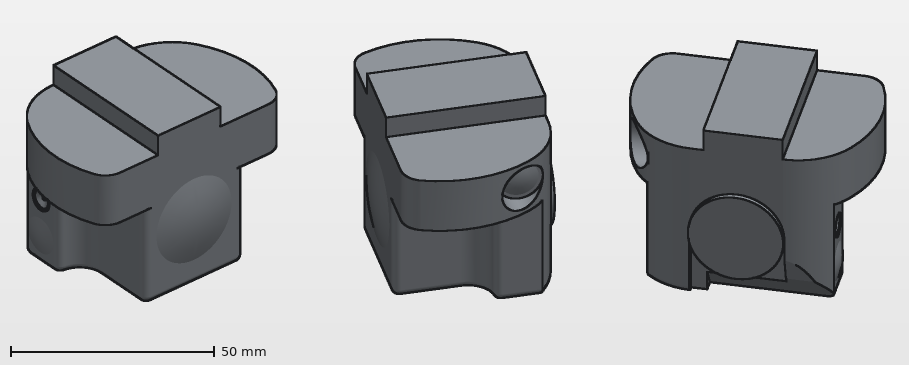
import cadquery as cq
import math

BODY_LENGTH = 40.4
PLATE_RADIUS = 31.4
PLATE_CENTRE_X = 24.75
PLATE_BOTTOM = 28.15
PLATE_TOP = 42.85
LEFT_CORNER_RADIUS = 17.8
RIGHT_CORNER_RADIUS = 6.0

RAIL_TOP = 48.6
RAIL_BACK = 8.4
RAIL_WIDTH = 20.0

BODY_HALF_WIDTH = 23.5
WIDE_PART_LENGTH = 16.6
EDGE_RADIUS = 2.0
UNDERSIDE_RADIUS = 1.9
NARROW_HALF_WIDTH = 15.8
HOLLOW_RADIUS = 6.55

PIVOT_DIAMETER = 24.0
PIVOT_Z = 18.85
PIVOT_PROUD = 1.5
PIVOT_DOME_HEIGHT = 1.7
POCKET_DEPTH = 2.5

RELIEF_BACK = 8.0
RELIEF_FOOT_X = 5.7
RELIEF_KNEE_X = 1.75
RELIEF_KNEE_Z = 6.4
RELIEF_TOP_Z = 12.9

PLUG_DIAMETER = 10.0
PLUG_HEIGHT = 0.9
FRONT_PLUG_X = 9.55
FRONT_PLUG_Z = 8.15
LOWER_PLUG_X = 10.2
LOWER_PLUG_Y = 12.2
BORE_DIAMETER = 12.0
BORE_X = 10.3
BORE_FLOOR_Y = 23.1
BORE_Z = (PLATE_BOTTOM + PLATE_TOP) / 2

BUTTON_DIAMETER = 4.7
BUTTON_HEIGHT = 0.16
BUTTON_X = 33.85

NIPPLE_DIAMETER = 6.2
NIPPLE_SEAT_DEPTH = 0.25
NIPPLE_CONE_DIAMETER = 5.0
NIPPLE_BALL_DIAMETER = 1.5
NIPPLE_FLOOR_DEPTH = 1.3
NIPPLE_BALL_HEIGHT = 0.5

EMBED = 0.6


def facing(origin, normal):
    """Location whose local Z axis leaves a face along its normal."""
    x_dir = (0, 1, 0) if normal[0] else (1, 0, 0)
    return cq.Plane(origin=origin, xDir=x_dir, normal=normal).location


def dome(diameter, height, origin, normal):
    """Shallow spherical cap standing on a face, with a short stem inside it."""
    radius = diameter / 2
    sphere_radius = (radius**2 + height**2) / (2 * height)
    cap = cq.Workplane("XY").sphere(sphere_radius).translate((0, 0, height - sphere_radius))
    stem = cq.Workplane("XY").circle(radius).extrude(height + EMBED).translate((0, 0, -EMBED))
    return cap.intersect(stem).val().moved(facing(origin, normal))


def rounded_outline(height):
    """Flat-sided disc with large left corners and small right corners."""
    disc = cq.Workplane("XY").center(PLATE_CENTRE_X, 0).circle(PLATE_RADIUS).extrude(height)
    slab = cq.Workplane("XY").box(BODY_LENGTH, 3 * PLATE_RADIUS, height, centered=(False, True, False))
    outline = disc.intersect(slab)
    outline = outline.faces("<X").edges("|Z").fillet(LEFT_CORNER_RADIUS)
    return outline.faces(">X").edges("|Z").fillet(RIGHT_CORNER_RADIUS)


def stepped_profile():
    """Wide block with rounded shoulders down to the narrow block, alike on both sides."""
    shoulder_x = WIDE_PART_LENGTH - EDGE_RADIUS
    shoulder_y = BODY_HALF_WIDTH - EDGE_RADIUS
    centre_gap = EDGE_RADIUS + HOLLOW_RADIUS
    rise = NARROW_HALF_WIDTH + HOLLOW_RADIUS - shoulder_y
    run = math.sqrt(centre_gap**2 - rise**2)
    hollow_x = shoulder_x + run
    joint = (shoulder_x + EDGE_RADIUS * run / centre_gap, shoulder_y + EDGE_RADIUS * rise / centre_gap)
    half = (
        cq.Workplane("XY")
        .lineTo(0, BODY_HALF_WIDTH)
        .lineTo(shoulder_x, BODY_HALF_WIDTH)
        .radiusArc(joint, EDGE_RADIUS)
        .radiusArc((hollow_x, NARROW_HALF_WIDTH), -HOLLOW_RADIUS)
        .lineTo(BODY_LENGTH - EDGE_RADIUS, NARROW_HALF_WIDTH)
        .radiusArc((BODY_LENGTH, NARROW_HALF_WIDTH - EDGE_RADIUS), EDGE_RADIUS)
        .lineTo(BODY_LENGTH, 0)
    )
    return half.mirrorX()


def lower_body():
    """Stepped block under the plate, held inside the rounded outline."""
    block = stepped_profile().extrude(PLATE_TOP)
    block = block.intersect(rounded_outline(PLATE_TOP))
    return block.faces("<Z").edges().fillet(UNDERSIDE_RADIUS)


def main_body():
    plate = rounded_outline(PLATE_TOP - PLATE_BOTTOM).translate((0, 0, PLATE_BOTTOM))
    rail = cq.Workplane("XY").box(BODY_LENGTH, RAIL_WIDTH, RAIL_TOP - PLATE_BOTTOM, centered=False)
    rail = rail.translate((0, RAIL_BACK - RAIL_WIDTH, PLATE_BOTTOM))
    return plate.union(rail).union(lower_body())


def pivot_pocket():
    """Slot in the left face, from the pivot centre down through the underside."""
    return cq.Workplane("XY").box(POCKET_DEPTH, PIVOT_DIAMETER, PIVOT_Z, centered=(False, True, False))


def sloped_relief():
    """Two-slope chamfer along the lower left edge, ending short of the back."""
    profile = [
        (0, 0),
        (RELIEF_FOOT_X, 0),
        (RELIEF_KNEE_X, RELIEF_KNEE_Z),
        (0, RELIEF_TOP_Z),
    ]
    reach = RELIEF_BACK + PLATE_RADIUS
    return cq.Workplane("XZ", origin=(0, RELIEF_BACK, 0)).polyline(profile).close().extrude(reach)


def pivot_disc():
    thickness = PIVOT_PROUD + POCKET_DEPTH + EMBED
    disc = cq.Workplane("YZ", origin=(-PIVOT_PROUD, 0, PIVOT_Z)).circle(PIVOT_DIAMETER / 2)
    return disc.extrude(thickness)


def plug_bore():
    """Blind bore along Y, open at the back rim of the plate."""
    bore = cq.Workplane("XY").circle(BORE_DIAMETER / 2).extrude(PLATE_RADIUS)
    return bore.val().moved(facing((BORE_X, BORE_FLOOR_Y, BORE_Z), (0, 1, 0)))


def nipple_recess():
    """Shallow round seat with a cone inside it, narrowing to the ball."""
    seat_radius = NIPPLE_DIAMETER / 2
    cone_radius = NIPPLE_CONE_DIAMETER / 2
    ball_radius = NIPPLE_BALL_DIAMETER / 2
    profile = [
        (0, 0),
        (seat_radius, 0),
        (seat_radius, -NIPPLE_SEAT_DEPTH),
        (cone_radius, -NIPPLE_SEAT_DEPTH),
        (ball_radius, -NIPPLE_FLOOR_DEPTH),
        (0, -NIPPLE_FLOOR_DEPTH),
    ]
    recess = cq.Workplane("XZ").polyline(profile).close().revolve(360, (0, 0), (0, 1))
    return recess.val().moved(facing((FRONT_PLUG_X, -BODY_HALF_WIDTH, PIVOT_Z), (0, -1, 0)))


result = main_body().cut(pivot_pocket()).cut(sloped_relief()).union(pivot_disc())
result = result.cut(plug_bore()).cut(nipple_recess())

domes = [
    (PIVOT_DIAMETER, PIVOT_DOME_HEIGHT, (BODY_LENGTH, 0, PIVOT_Z), (1, 0, 0)),
    (PLUG_DIAMETER, PLUG_HEIGHT, (FRONT_PLUG_X, -BODY_HALF_WIDTH, FRONT_PLUG_Z), (0, -1, 0)),
    (PLUG_DIAMETER, PLUG_HEIGHT, (BORE_X, BORE_FLOOR_Y, BORE_Z), (0, 1, 0)),
    (PLUG_DIAMETER, PLUG_HEIGHT, (LOWER_PLUG_X, LOWER_PLUG_Y, 0), (0, 0, -1)),
    (BUTTON_DIAMETER, BUTTON_HEIGHT, (BUTTON_X, 0, 0), (0, 0, -1)),
    (
        NIPPLE_BALL_DIAMETER,
        NIPPLE_BALL_HEIGHT,
        (FRONT_PLUG_X, NIPPLE_FLOOR_DEPTH - BODY_HALF_WIDTH, PIVOT_Z),
        (0, -1, 0),
    ),
]
for diameter, height, origin, normal in domes:
    result = result.union(cq.Workplane(dome(diameter, height, origin, normal)))